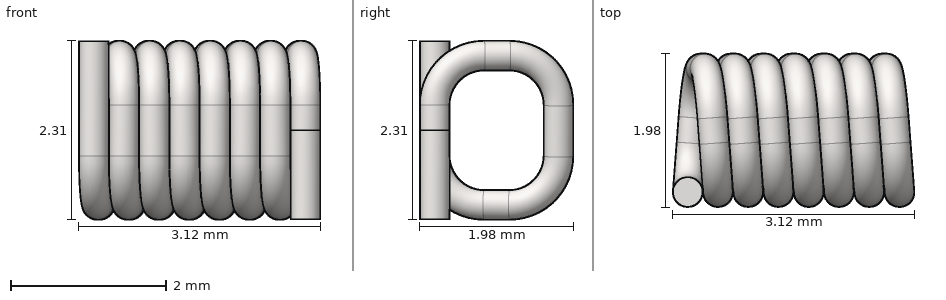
import cadquery as cq
import math

wire_diameter = 0.385
pitch = 0.39
turns = 7
outer_depth = 1.98
outer_height = 2.31
bend_setback = 0.635
leg_end_height = 1.148

wire_radius = wire_diameter / 2
half_depth = (outer_depth - wire_diameter) / 2
half_height = (outer_height - wire_diameter) / 2
first_x = -turns * pitch / 2
last_x = first_x + turns * pitch

advancing_length = 4 * half_depth + 2 * half_height
crossing_advance = pitch * 2 * half_depth / advancing_length


def turn_corners(front_x):
    """Sharp centreline corners of the turn that starts from the front upright at front_x."""
    return [
        cq.Vector(front_x, -half_depth, -half_height),
        cq.Vector(front_x + crossing_advance, half_depth, -half_height),
        cq.Vector(front_x + pitch - crossing_advance, half_depth, half_height),
        cq.Vector(front_x + pitch, -half_depth, half_height),
    ]


def bend(before, corner, after):
    """Arc that rounds a corner, tangent to the straight wire on both sides."""
    toward_before = (before - corner).normalized()
    toward_after = (after - corner).normalized()
    half_angle = toward_before.getAngle(toward_after) / 2
    radius = bend_setback * math.tan(half_angle)
    middle_distance = bend_setback / math.cos(half_angle) - radius
    inward = (toward_before + toward_after).normalized()
    return cq.Edge.makeThreePointArc(
        corner + toward_before * bend_setback,
        corner + inward * middle_distance,
        corner + toward_after * bend_setback,
    )


def coil_path():
    """Centreline from the free end of the first leg to the middle of the last front upright."""
    points = [cq.Vector(first_x, -half_depth, leg_end_height)]
    for turn in range(turns):
        points += turn_corners(first_x + turn * pitch)
    path_end = cq.Vector(last_x, -half_depth, 0)
    points.append(path_end)

    edges = []
    straight_start = points[0]
    for before, corner, after in zip(points, points[1:], points[2:]):
        arc = bend(before, corner, after)
        edges.append(cq.Edge.makeLine(straight_start, arc.startPoint()))
        edges.append(arc)
        straight_start = arc.endPoint()
    edges.append(cq.Edge.makeLine(straight_start, path_end))
    return cq.Wire.assembleEdges(edges)


coil = (
    cq.Workplane("XY", origin=(first_x, -half_depth, leg_end_height))
    .circle(wire_radius)
    .sweep(cq.Workplane(obj=coil_path()))
)

end_leg = (
    cq.Workplane("XY", origin=(last_x, -half_depth, 0))
    .circle(wire_radius)
    .extrude(-leg_end_height)
)

result = cq.Compound.makeCompound([coil.val(), end_leg.val()])